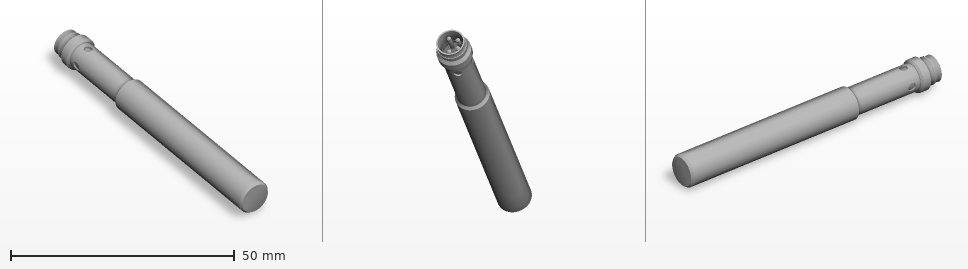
import cadquery as cq

length = 70.0
body_diameter = 8.0
start_x = -length / 2

waist_x = 0.55
ridge_start = 1.55
ridge_crest_end = 1.9
ridge_end = 2.0
collar_start = 2.95
collar_end = 6.0
body_start = 22.95

nose_diameter = 6.5
waist_diameter = 6.3
ridge_diameter = 6.8
neck_diameter = 6.7
front_chamfer = (body_diameter - neck_diameter) / 2
collar_rear_chamfer = 0.5
end_chamfer_length = 0.6
end_chamfer_height = 0.4

socket_diameter = 5.8
socket_depth = 4.9
socket_floor_diameter = 5.5
socket_step_depth = 4.2
pin_diameter = 1.0
pin_tip_chamfer = 0.3
pin_recess = 0.8
pin_positions_yz = [(0.55, 1.7), (-1.5, 1.05)]

window_diameter = 2.0
window_floor_diameter = 5.8
window_x = 8.3
window_count = 4


def make_shell():
    """Revolved outside: nose with ridge, collar, neck and main body."""
    nose_radius = nose_diameter / 2
    ridge_radius = ridge_diameter / 2
    neck_radius = neck_diameter / 2
    body_radius = body_diameter / 2
    waist_point = (waist_x, waist_diameter / 2)
    profile_after_waist = [
        (ridge_start, ridge_radius),
        (ridge_crest_end, ridge_radius),
        (ridge_end, nose_radius),
        (collar_start, nose_radius),
        (collar_start, neck_radius),
        (collar_start + front_chamfer, body_radius),
        (collar_end - collar_rear_chamfer, body_radius),
        (collar_end, body_radius - collar_rear_chamfer),
        (collar_end, neck_radius),
        (body_start, neck_radius),
        (body_start + front_chamfer, body_radius),
        (length - end_chamfer_length, body_radius),
        (length, body_radius - end_chamfer_height),
        (length, 0),
    ]
    outline = (
        cq.Workplane("XY")
        .lineTo(0, nose_radius)
        .threePointArc(waist_point, (ridge_start, nose_radius))
        .polyline(profile_after_waist, includeCurrent=True)
        .close()
    )
    shell = outline.revolve(360, (0, 0, 0), (1, 0, 0))
    return shell.translate((start_x, 0, 0))


def make_socket():
    """Round bore that opens at the plug face and narrows just above its floor."""
    plane = cq.Workplane("YZ", origin=(start_x, 0, 0))
    wide_bore = plane.circle(socket_diameter / 2).extrude(socket_step_depth)
    deep_bore = plane.circle(socket_floor_diameter / 2).extrude(socket_depth)
    return wide_bore.union(deep_bore)


def make_pin(y, z):
    """Contact pin with a chamfered tip, standing on the socket floor."""
    plane = cq.Workplane("YZ", origin=(start_x + pin_recess, y, z))
    pin = plane.circle(pin_diameter / 2).extrude(socket_depth - pin_recess)
    return pin.faces("<X").chamfer(pin_tip_chamfer)


def make_window(angle):
    """Radial cutter whose floor is curved concentric with the neck."""
    plane = cq.Workplane("XY", origin=(start_x + window_x, 0, 0))
    cutter = plane.circle(window_diameter / 2).extrude(body_diameter / 2)
    core_plane = cq.Workplane("YZ", origin=(start_x + window_x - window_diameter, 0, 0))
    core = core_plane.circle(window_floor_diameter / 2).extrude(2 * window_diameter)
    return cutter.cut(core).rotate((0, 0, 0), (1, 0, 0), angle)


result = make_shell().cut(make_socket())

for pin_y, pin_z in pin_positions_yz:
    for side in (1, -1):
        result = result.union(make_pin(pin_y, side * pin_z))

for index in range(window_count):
    result = result.cut(make_window(index * 360 / window_count))